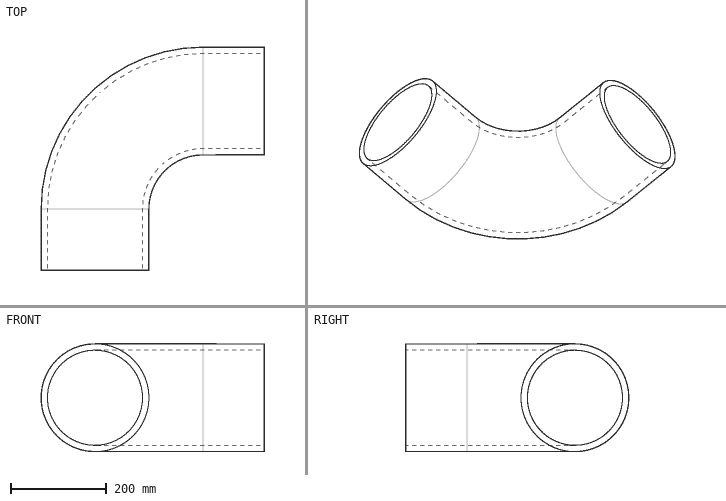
import cadquery as cq

outer_diameter = 225.0
wall_thickness = 13.4
bend_radius = 225.0
spigot_length = 128.0
bend_angle = 90.0

outer_radius = outer_diameter / 2
inner_radius = outer_radius - wall_thickness


def pipe_section(workplane):
    """Ring-shaped cross-section of the pipe wall."""
    return workplane.circle(outer_radius).circle(inner_radius)


def make_bend():
    """Quarter bend from the origin (axis along Y) to an end facing +X."""
    axis_start = (bend_radius, 0)
    axis_end = (bend_radius, -1)
    return pipe_section(cq.Workplane("XZ")).revolve(bend_angle, axis_start, axis_end)


def make_front_spigot():
    """Straight pipe running from the start of the bend toward -Y."""
    return pipe_section(cq.Workplane("XZ")).extrude(spigot_length)


def make_side_spigot():
    """Straight pipe running from the end of the bend toward +X."""
    bend_end = (bend_radius, bend_radius, 0)
    return pipe_section(cq.Workplane("YZ", origin=bend_end)).extrude(spigot_length)


result = make_bend().union(make_front_spigot()).union(make_side_spigot())